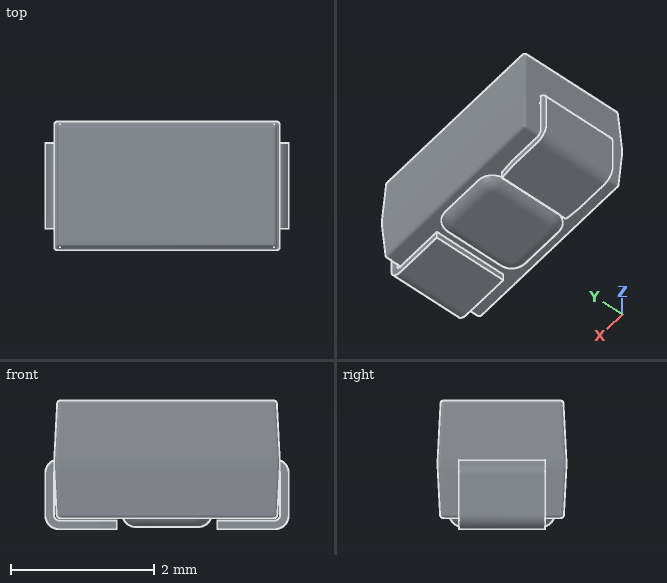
import cadquery as cq
import math

lead_span = 3.4
lead_thickness = 0.125
lead_width = 1.2
bend_radius = 0.2
foot_gap = 1.4

taper_length = 0.255
taper_angle = 5.0

body_length = lead_span - 2 * lead_thickness
body_width = 1.8
body_top = 1.8
body_bottom = 0.155
belt_top = 0.98
belt_bottom = belt_top - lead_thickness
draft_angle = 3.0
edge_radius = 0.05

pad_length = 1.26
pad_width = 1.48
pad_bottom = 0.03
pad_corner_radius = 0.27
pad_edge_radius = 0.2


def drafted_block(height):
    """Block that narrows upward by the draft angle, rounded on every edge but those of its base."""
    block = cq.Workplane("XY").rect(body_length, body_width).extrude(height, taper=draft_angle)
    return block.edges("not <Z").fillet(edge_radius)


def make_pad():
    """Pad with rounded corners and a rounded underside, rooted inside the body up to the belt."""
    pad_height = belt_bottom - pad_bottom
    pad = cq.Workplane("XY").box(pad_length, pad_width, pad_height, centered=(True, True, False))
    pad = pad.edges("|Z").fillet(pad_corner_radius)
    pad = pad.faces("<Z").edges().fillet(pad_edge_radius)
    return pad.translate((0, 0, pad_bottom))


def rounded_block(start_x, end_x, bottom_z, top_z, radius):
    """Block as wide as a lead, with the two edges on its left side rounded."""
    length = end_x - start_x
    height = top_z - bottom_z
    block = cq.Workplane("XY").box(length, lead_width, height, centered=(False, True, False))
    return block.edges("|Y and <X").fillet(radius).translate((start_x, 0, bottom_z))


def make_lead():
    """Left lead: a bend inside the belt, an upright leg, a lower bend and a flat foot."""
    outer_x = -lead_span / 2
    inner_x = outer_x + lead_thickness
    foot_end_x = -foot_gap / 2
    root_x = outer_x + bend_radius
    inner_radius = bend_radius - lead_thickness

    outside = rounded_block(outer_x, foot_end_x, 0, belt_top, bend_radius)
    inside = rounded_block(inner_x, foot_end_x, lead_thickness, belt_bottom, inner_radius)
    beyond_root = cq.Workplane("XY").box(
        foot_end_x - root_x, lead_width, belt_top - lead_thickness, centered=(False, True, False)
    )
    beyond_root = beyond_root.translate((root_x, 0, lead_thickness))
    return outside.cut(inside).cut(beyond_root)


def taper_foot(lead):
    """Narrow the end of the left foot symmetrically toward its tip."""
    tip_x = -foot_gap / 2
    start_x = tip_x - taper_length
    half_width = lead_width / 2
    tip_half_width = half_width - taper_length * math.tan(math.radians(taper_angle))
    for side in (-1, 1):
        taper_start = (start_x, side * half_width)
        old_corner = (tip_x, side * half_width)
        new_corner = (tip_x, side * tip_half_width)
        waste = cq.Workplane("XY").polyline([taper_start, old_corner, new_corner]).close()
        waste = waste.extrude(lead_thickness)
        lead = lead.cut(waste)
    return lead


def make_body():
    """Belt carried on from the drafted blocks' own outline, joined to both of them and the pad."""
    upper_block = drafted_block(body_top - belt_top).translate((0, 0, belt_top))
    lower_block = drafted_block(belt_bottom - body_bottom).mirror("XY").translate((0, 0, belt_bottom))
    belt = upper_block.faces("<Z").wires().toPending().workplane().extrude(lead_thickness, combine=False)
    body = belt.union(upper_block).union(lower_block)
    return body.union(make_pad())


plain_lead = make_lead()
cathode_lead = taper_foot(plain_lead)
anode_lead = plain_lead.mirror("YZ")
body = make_body().cut(cathode_lead).cut(anode_lead)

result = cq.Compound.makeCompound([body.val(), cathode_lead.val(), anode_lead.val()])